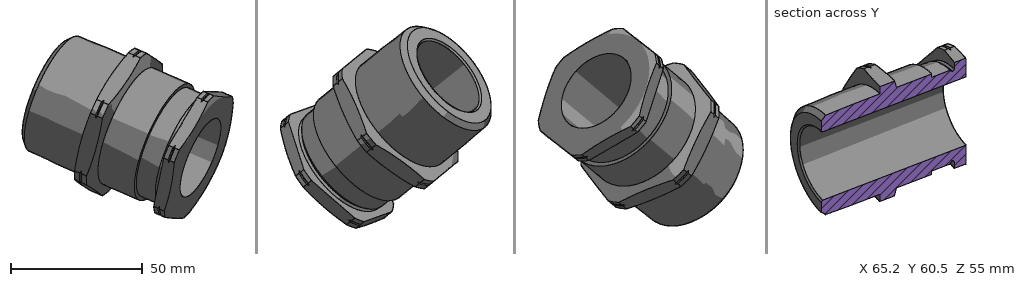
import cadquery as cq
import math

overall_length = 65.2

body_radius = 24.1
taper_end_x = 14.0
nose_rim_radius = 23.8
nose_chamfer = 2.0
step_x = 49.7
neck_radius = 22.5

bore_radius = 16.2
bore_chamfer = 0.7

corner_to_flats_ratio = 1.1
body_hex_flats = 55.0
body_hex_start_x = 26.4
body_hex_end_x = 34.0
cap_hex_flats = 50.0
cap_hex_start_x = 59.9
cap_hex_turn = 9.6

hex_chamfer_angle = 15.0
face_ring_margin = 0.25

relief_start_x = 57.9
relief_depth = 1.15
relief_end_radius = 22.2

notch_width = 0.8
notch_depth = 0.4


def revolve_about_x(points):
    """Solid of revolution about X from (x, radius) points."""
    return cq.Workplane("XY").polyline(points).close().revolve(360, (0, 0, 0), (1, 0, 0))


def chamfer_drop(outer_radius, inner_radius):
    """Axial fall of the hexagon chamfer cone between two radii."""
    return (outer_radius - inner_radius) * math.tan(math.radians(hex_chamfer_angle))


def make_body():
    relief_bottom_x = relief_start_x + relief_depth
    return revolve_about_x([
        (0, 0),
        (0, nose_rim_radius - nose_chamfer),
        (nose_chamfer, nose_rim_radius),
        (taper_end_x, body_radius),
        (step_x, body_radius),
        (step_x, neck_radius),
        (relief_start_x, neck_radius),
        (relief_bottom_x, neck_radius - relief_depth),
        (cap_hex_start_x, relief_end_radius),
        (cap_hex_start_x, 0),
    ])


def make_hexagon(flats, start_x, end_x, start_face_radius, end_face_radius, turn):
    """Hexagon with corners on +/-Y, trimmed to a coned and notched turned blank."""
    corner_radius = corner_to_flats_ratio * flats / 2
    rim_start_x = start_x + chamfer_drop(corner_radius, start_face_radius)
    rim_end_x = end_x - chamfer_drop(corner_radius, end_face_radius)
    notch_x = (rim_start_x + rim_end_x) / 2
    points = [
        (start_x, 0),
        (start_x, start_face_radius),
        (notch_x - notch_width / 2, corner_radius),
        (notch_x, corner_radius - notch_depth),
        (notch_x + notch_width / 2, corner_radius),
        (rim_end_x, corner_radius),
        (end_x, end_face_radius),
        (end_x, 0),
    ]
    if start_face_radius < corner_radius:
        points.insert(2, (rim_start_x, corner_radius))
    blank = revolve_about_x(points)
    corner_diameter = flats / math.cos(math.radians(30))
    prism = (
        cq.Workplane("YZ", origin=(start_x, 0, 0))
        .polygon(6, corner_diameter)
        .extrude(end_x - start_x)
        .rotate((0, 0, 0), (1, 0, 0), turn)
    )
    return prism.intersect(blank)


def make_body_hexagon():
    start_face_radius = body_hex_flats / 2 - face_ring_margin
    return make_hexagon(
        body_hex_flats, body_hex_start_x, body_hex_end_x, start_face_radius, body_radius, 0
    )


def make_cap_hexagon():
    start_face_radius = corner_to_flats_ratio * cap_hex_flats / 2
    end_face_radius = cap_hex_flats / 2 - face_ring_margin
    return make_hexagon(
        cap_hex_flats, cap_hex_start_x, overall_length,
        start_face_radius, end_face_radius, cap_hex_turn,
    )


def make_bore():
    return revolve_about_x([
        (0, 0),
        (0, bore_radius + bore_chamfer),
        (bore_chamfer, bore_radius),
        (overall_length, bore_radius),
        (overall_length, 0),
    ])


result = make_body().union(make_body_hexagon()).union(make_cap_hexagon()).cut(make_bore())